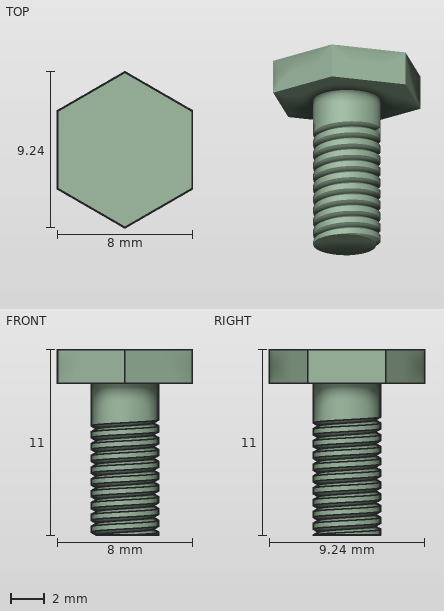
import cadquery as cq
import math

head_sides = 6
half_side_angle = 180 / head_sides
across_flats = 8.0
across_corners = across_flats / math.cos(math.radians(half_side_angle))
head_height = 2.0

shank_diameter = 4.0
shank_radius = shank_diameter / 2
shank_length = 9.0

thread_pitch = 0.7
thread_turns = 10
groove_angle = 60.0
groove_depth = 0.325
groove_overlap = 0.1
groove_end_direction = 180


def make_head():
    return (
        cq.Workplane("XY")
        .workplane(offset=shank_length)
        .polygon(head_sides, across_corners)
        .extrude(head_height)
        .rotate((0, 0, 0), (0, 0, 1), half_side_angle)
    )


def make_shank():
    return cq.Workplane("XY").circle(shank_radius).extrude(shank_length)


def make_groove_cutter():
    """V-shaped cutter swept along the thread helix.

    The helix starts one turn below the free end, so the groove runs out through the end face.
    """
    root_radius = shank_radius - groove_depth
    outer_radius = shank_radius + groove_overlap
    half_width = (outer_radius - root_radius) * math.tan(math.radians(groove_angle / 2))
    helix_height = (thread_turns + 1) * thread_pitch
    helix = cq.Wire.makeHelix(thread_pitch, helix_height, root_radius)
    cutter = (
        cq.Workplane("XZ")
        .moveTo(root_radius, 0)
        .lineTo(outer_radius, half_width)
        .lineTo(outer_radius, -half_width)
        .close()
        .sweep(cq.Workplane(obj=helix), isFrenet=True)
    )
    return cutter.rotate((0, 0, 0), (0, 0, 1), groove_end_direction).translate((0, 0, -thread_pitch))


threaded_shank = make_shank().cut(make_groove_cutter())
result = make_head().union(threaded_shank)